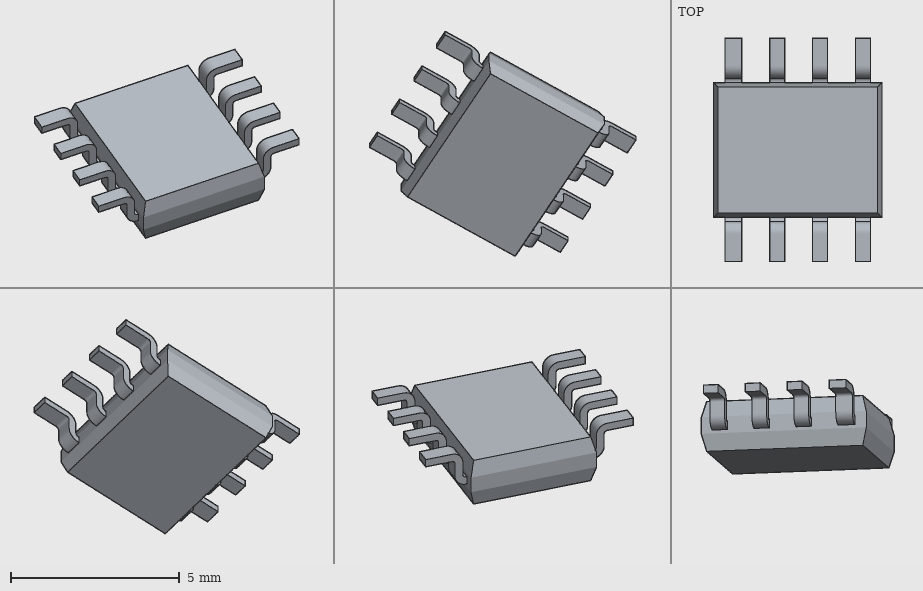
import cadquery as cq
import math

body_length = 5.0
body_width = 4.0
body_height = 1.5
band_height = body_height / 3
taper_angle = 15.0

lead_span = 6.62
lead_rise = 0.225
lead_thickness = 0.25
foot_length = 0.835
inner_radius = 0.1
outer_radius = inner_radius + lead_thickness
riser_length = 0.42

lead_pitch = 1.27
last_lead_edge = 2.16
lead_width = 0.45
wide_lead_width = 0.5
lead_widths = [wide_lead_width, lead_width, lead_width, lead_width]


def make_body():
    """Body standing on Z = 0, with the widest section in the middle band."""
    band = cq.Workplane("XY").workplane(offset=band_height).rect(body_length, body_width).extrude(band_height)
    top = band.faces(">Z").workplane().rect(body_length, body_width).extrude(band_height, taper=taper_angle)
    return top.faces("<Z").workplane().rect(body_length, body_width).extrude(band_height, taper=taper_angle)


def lead_profile(plane):
    """Side outline of a +Y lead, from the body wall out to the raised tip."""
    wall_y = body_width / 2
    tip_y = lead_span / 2
    upper_bend_y = tip_y - foot_length
    riser_outer_y = upper_bend_y - inner_radius
    riser_inner_y = riser_outer_y - lead_thickness
    lower_bend_y = riser_inner_y - inner_radius

    tip_top_z = body_height + lead_rise
    tip_bottom_z = tip_top_z - lead_thickness
    riser_top_z = tip_top_z - outer_radius
    riser_bottom_z = riser_top_z - riser_length
    root_top_z = riser_bottom_z - inner_radius
    root_bottom_z = root_top_z - lead_thickness

    diagonal = math.sqrt(0.5)
    inner_diagonal = inner_radius * diagonal
    outer_diagonal = outer_radius * diagonal
    return (
        plane.moveTo(wall_y, root_top_z)
        .lineTo(lower_bend_y, root_top_z)
        .threePointArc(
            (lower_bend_y + inner_diagonal, riser_bottom_z - inner_diagonal),
            (riser_inner_y, riser_bottom_z),
        )
        .lineTo(riser_inner_y, riser_top_z)
        .threePointArc(
            (upper_bend_y - outer_diagonal, riser_top_z + outer_diagonal),
            (upper_bend_y, tip_top_z),
        )
        .lineTo(tip_y, tip_top_z)
        .lineTo(tip_y, tip_bottom_z)
        .lineTo(upper_bend_y, tip_bottom_z)
        .threePointArc(
            (upper_bend_y - inner_diagonal, riser_top_z + inner_diagonal),
            (riser_outer_y, riser_top_z),
        )
        .lineTo(riser_outer_y, riser_bottom_z)
        .threePointArc(
            (lower_bend_y + outer_diagonal, riser_bottom_z - outer_diagonal),
            (lower_bend_y, root_bottom_z),
        )
        .lineTo(wall_y, root_bottom_z)
        .close()
    )


def make_lead(right_edge, width):
    """One +Y lead reaching from its +X edge toward -X by its width."""
    plane = cq.Workplane("YZ", origin=(right_edge, 0, 0))
    return lead_profile(plane).extrude(-width)


result = make_body()
for index, width in enumerate(lead_widths):
    steps_from_last = len(lead_widths) - 1 - index
    lead = make_lead(last_lead_edge - steps_from_last * lead_pitch, width)
    result = result.union(lead).union(lead.mirror("XZ"))